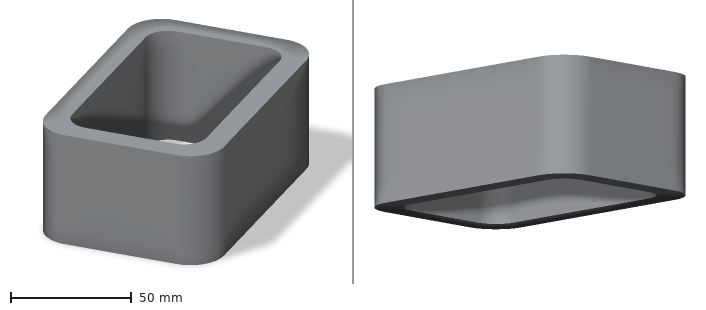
import cadquery as cq

width = 80.0
length = 120.0
height = 50.0
wall = 10.0

outer_radius = 15.0
inner_radius = 10.0


def rounded_block(size_x, size_y, corner_radius):
    """Full-height block with rounded vertical edges, standing on Z = 0."""
    block = cq.Workplane("XY").rect(size_x, size_y).extrude(height)
    return block.edges("|Z").fillet(corner_radius)


outer_body = rounded_block(width, length, outer_radius)
opening = rounded_block(width - 2 * wall, length - 2 * wall, inner_radius)

result = outer_body.cut(opening)